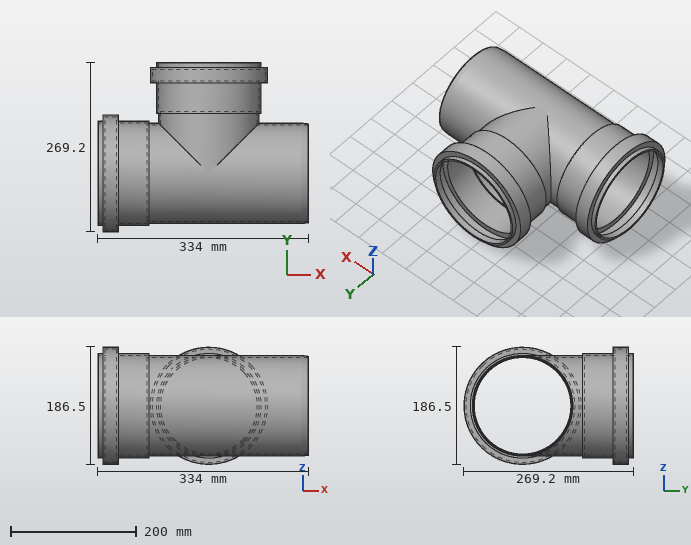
import cadquery as cq

pipe_diameter = 160.0
pipe_bore = 153.5
socket_diameter = 166.3
socket_bore = pipe_diameter
collar_diameter = 186.5
groove_diameter = 180.0

run_length = 334.0
mouth_to_axis = 176.0
collar_start = 7.7
collar_end = 32.0
socket_end = 80.8
wall = (pipe_diameter - pipe_bore) / 2
groove_start = collar_start + wall
groove_end = collar_end - wall
socket_depth = socket_end - wall

taper_length = 10.0
taper_depth = 1.5


def run_cylinder(diameter, start, end):
    """Cylinder on the run axis; distances start at the socket mouth."""
    return (
        cq.Workplane("YZ", origin=(start - mouth_to_axis, 0, 0))
        .circle(diameter / 2)
        .extrude(end - start)
    )


def to_branch(shape):
    """Turn a shape on the run axis so that its socket mouth faces +Y."""
    return shape.rotate((0, 0, 0), (0, 0, 1), -90)


def socket_outside():
    sleeve = run_cylinder(socket_diameter, 0, socket_end)
    collar = run_cylinder(collar_diameter, collar_start, collar_end)
    return sleeve.union(collar)


def socket_inside():
    sleeve = run_cylinder(socket_bore, 0, socket_depth)
    seal_groove = run_cylinder(groove_diameter, groove_start, groove_end)
    return sleeve.union(seal_groove)


run_pipe = run_cylinder(pipe_diameter, 0, run_length).faces(">X").chamfer(taper_length, taper_depth)
branch_pipe = to_branch(run_cylinder(pipe_diameter, 0, mouth_to_axis))
body = run_pipe.union(branch_pipe)
body = body.union(socket_outside()).union(to_branch(socket_outside()))

run_passage = run_cylinder(pipe_bore, 0, run_length).union(socket_inside())
branch_passage = to_branch(run_cylinder(pipe_bore, 0, mouth_to_axis).union(socket_inside()))
result = body.cut(run_passage).cut(branch_passage)